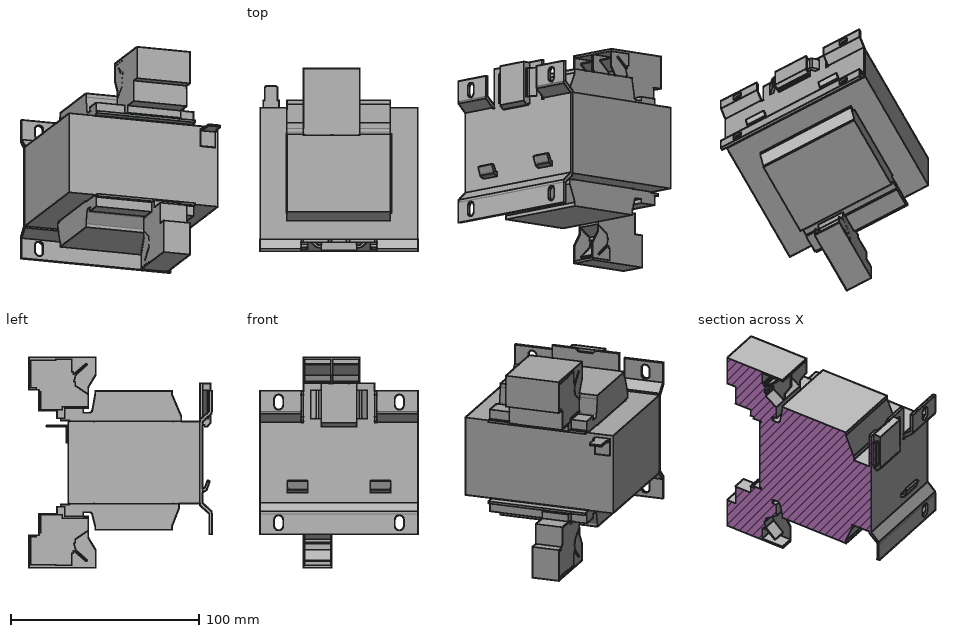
import cadquery as cq


CORE_WIDTH = 84.0
CORE_HEIGHT = 43.7
LIMB = 14.0
E_DEPTH = 56.0
CORE_DEPTH = E_DEPTH + LIMB
CORE_HALF_WIDTH = CORE_WIDTH / 2
HALF_HEIGHT = CORE_HEIGHT / 2
WINDOW_OUTER_X = CORE_HALF_WIDTH - LIMB
CENTRE_LIMB_HALF = LIMB

BOBBIN_LEFT = -27.7
BOBBIN_RIGHT = 27.35
BOBBIN_WIDTH = BOBBIN_RIGHT - BOBBIN_LEFT
COIL_FRONT_TOP_Y = 14.7
COIL_BACK_TOP_Y = 55.7
COIL_BACK_ROOT_Y = 57.2
EDGE_LAND = 2.0
UPPER_COIL_TOP = 38.1
UPPER_COIL_FRONT = 9.75
LOWER_COIL_TOP = 35.9
LOWER_COIL_FRONT = 11.0
COIL_FRONT_ROOT_Z = 24.4
GROOVE_FLOOR_Z = 26.5
GROOVE_BACK_Y = 61.9
GROOVE_ROUND_Y = 58.9
GROOVE_ROUND_Z = 27.8
LEDGE_Z = 28.7
LEDGE_BACK_Y = 71.7
TAIL_BACK_Y = 74.0
TAIL_TOP = 23.5
TAIL_BOTTOM = 22.3
TAIL_ROOT_Y = 69.2

BLOCK_WIDTH = 15.0
BLOCK_LEFT = -18.9
BLOCK_TOP = 56.0
BLOCK_BACK_Y = 90.82
BLOCK_NOSE_Y = 55.3
BLOCK_NOSE_Z = 46.6
BLOCK_FACE_Y = 59.3
BLOCK_FACE_Z = 39.9
BLOCK_STEP_Y = 85.6
BLOCK_STEP_Z = 38.6
BLOCK_BASE_Z = 27.4
FOOT_BACK_Y = 76.0
SHELL = 1.0
SIDE_WALL = 0.7
RIM_WALL = 0.5
ROOF = 1.25
CAVITY_BACK_Y = 68.1
CAVITY_REST_Y = 67.2
CAVITY_REST_TOP = 48.3
CAVITY_REST_BOTTOM = 43.4
CAVITY_SLOPE_Y = 66.1
CAVITY_HEEL_Z = 42.5
CAVITY_SLOPE_Z = 40.8
CAVITY_SILL_Z = 36.2
PANEL_INSET = 0.1
PANEL_STEP_Y = 73.2
PANEL_RISE_Y = 76.6
PANEL_RISE = 0.4
PANEL_NOTCH_Y = 87.0
PANEL_NOTCH_DEPTH = 1.1
LEVER_TIP_Y = 60.4
LEVER_TIP_Z = 52.6
LEVER_TIP_DROP = 0.55
LEVER_BEND_Y = 66.0
LEVER_BEND_Z = 46.5
LEVER_BACK_Z = 47.0
LEVER_FOOT_Y = 66.9
LEVER_FOOT_Z = 43.1

PLATE_WIDTH = 84.05
PLATE_HALF_WIDTH = PLATE_WIDTH / 2
PLATE = 1.5
FLANGE_OUTER_Y = -6.5
FLANGE_INNER_Y = FLANGE_OUTER_Y + PLATE
FLANGE_END_Z = 38.2
BEND_OUTER_Z = 21.5
BEND_INNER_Z = 22.8
CREASE_OUTER_Z = 26.0
CREASE_INNER_Z = 27.25
CREASE_BEVEL = 0.2
TONGUE_HALF = 18.95
TONGUE_TOP = 42.25
NOTCH_TOP_HALF = 5.6
NOTCH_FLOOR_HALF = 3.9
NOTCH_DEPTH = 1.7
RELIEF = 1.25
RELIEF_BOTTOM = 21.0
SLOT_X = 32.1
SLOT_Z = 32.1
SLOT_WIDTH = 4.7
SLOT_LENGTH = 7.9

CLIP_HALF = 9.4
CLIP_TOP = TONGUE_TOP - 0.15
CLIP_OUTER_Y = -5.75
CLIP_BOTTOM = 21.0
CLIP_LIP_Z = 18.9
CLIP_LIP_OUTER_Y = -3.8
CLIP_LIP_INNER_Y = -2.6
CLIP_LIP_ROOT_Z = 19.8
STRAP_ROOT_X = 15.1
STRAP_SHOULDER_X = 12.1
STRAP_SHOULDER_Y = -4.1
STRAP_FLAT_X = 10.9
STRAP_OUTER_Y = -4.5
STRAP = 1.2
STRAP_BOTTOM = 23.3
STRAP_TOP = 38.5

HOOK_X = 22.0
HOOK_WIDTH = 11.0
HOOK_CORNER = 0.7
HOOK_ROOT_TOP_Z = -13.8
HOOK_ROOT_BOTTOM_Z = -16.0
HOOK_SOLE_Y = -3.2
HOOK_SOLE_Z = -15.1
HOOK_HEEL_Y = -3.8
HOOK_HEEL_Z = -14.5
HOOK_SHIN_Y = -4.1
HOOK_SHIN_Z = -13.6
HOOK_NECK_Y = -2.6
HOOK_NECK_Z = -13.4
HOOK_TIP_INNER_Y = -4.2
HOOK_TIP_OUTER_Y = -5.4
HOOK_TIP_INNER_Z = -9.4
HOOK_TIP_OUTER_Z = -10.0

TAB_X = -36.1
TAB_THICKNESS = 0.9
TAB_TOP = 19.9
TAB_LEG_BOTTOM = 10.6
TAB_BASE_WIDTH = 8.4
TAB_BASE_BACK_Y = 73.8
TAB_BLADE_WIDTH = 6.8
TAB_TIP_Y = 81.6
TAB_CHAMFER = 0.9
TAB_TIP_BEVEL = TAB_THICKNESS / 3


def box(x0, x1, y0, y1, z0, z1):
    """Box between opposite corners."""
    return cq.Workplane("XY").box(x1 - x0, y1 - y0, z1 - z0, centered=False).translate((x0, y0, z0))


def side_prism(points, x0, x1):
    """Prism with a (Y, Z) outline, running along X."""
    return cq.Workplane("YZ", origin=(x0, 0, 0)).polyline(points).close().extrude(x1 - x0)


def mirror_z(body):
    return body.mirror("XY")


def make_core():
    core = box(-CORE_HALF_WIDTH, CORE_HALF_WIDTH, 0, CORE_DEPTH, -HALF_HEIGHT, HALF_HEIGHT)
    for x0, x1 in ((-WINDOW_OUTER_X, -CENTRE_LIMB_HALF), (CENTRE_LIMB_HALF, WINDOW_OUTER_X)):
        core = core.cut(box(x0, x1, LIMB, E_DEPTH, -HALF_HEIGHT, HALF_HEIGHT))
    return core


def make_winding():
    """Winding that fills the core windows."""
    winding = box(BOBBIN_LEFT, -CENTRE_LIMB_HALF, LIMB, E_DEPTH, -HALF_HEIGHT, HALF_HEIGHT)
    return winding.union(box(CENTRE_LIMB_HALF, BOBBIN_RIGHT, LIMB, E_DEPTH, -HALF_HEIGHT, HALF_HEIGHT))


def make_bobbin_end(front_y, top_z):
    """Coil end standing above the core, with the ledge that carries the terminals."""
    return (
        cq.Workplane("YZ", origin=(BOBBIN_LEFT, 0, 0))
        .moveTo(front_y, HALF_HEIGHT)
        .lineTo(front_y, COIL_FRONT_ROOT_Z)
        .lineTo(COIL_FRONT_TOP_Y, top_z - EDGE_LAND)
        .lineTo(COIL_FRONT_TOP_Y, top_z)
        .lineTo(COIL_BACK_TOP_Y, top_z)
        .lineTo(COIL_BACK_TOP_Y, top_z - EDGE_LAND)
        .lineTo(COIL_BACK_ROOT_Y, GROOVE_ROUND_Z)
        .tangentArcPoint((GROOVE_ROUND_Y, GROOVE_FLOOR_Z), relative=False)
        .lineTo(GROOVE_BACK_Y, GROOVE_FLOOR_Z)
        .lineTo(GROOVE_BACK_Y, LEDGE_Z)
        .lineTo(LEDGE_BACK_Y, LEDGE_Z)
        .lineTo(LEDGE_BACK_Y, TAIL_TOP)
        .lineTo(TAIL_BACK_Y, TAIL_TOP)
        .lineTo(TAIL_BACK_Y, TAIL_BOTTOM)
        .lineTo(TAIL_ROOT_Y, TAIL_BOTTOM)
        .lineTo(TAIL_ROOT_Y, HALF_HEIGHT)
        .close()
        .extrude(BOBBIN_WIDTH)
    )


CAVITY_WALL = [
    (CAVITY_BACK_Y, BLOCK_TOP - ROOF),
    (CAVITY_BACK_Y, CAVITY_REST_TOP),
    (CAVITY_REST_Y, CAVITY_REST_TOP),
    (CAVITY_REST_Y, CAVITY_REST_BOTTOM),
    (CAVITY_SLOPE_Y, CAVITY_HEEL_Z),
    (CAVITY_SLOPE_Y, CAVITY_SLOPE_Z),
    (BLOCK_FACE_Y, CAVITY_SILL_Z),
]
LEVER_OUTLINE = [
    (LEVER_TIP_Y, LEVER_TIP_Z),
    (LEVER_TIP_Y - LEVER_TIP_DROP, LEVER_TIP_Z - LEVER_TIP_DROP),
    (LEVER_BEND_Y, LEVER_BEND_Z),
    (LEVER_FOOT_Y, LEVER_FOOT_Z),
    (CAVITY_REST_Y, LEVER_FOOT_Z),
    (CAVITY_REST_Y, LEVER_BACK_Z),
    (LEVER_FOOT_Y, LEVER_BACK_Z),
]


def make_terminal(left_x):
    """Terminal block with a wire cavity, open to the front, and a bent clamp lever."""
    right_x = left_x + BLOCK_WIDTH
    outline = [
        (BLOCK_NOSE_Y, BLOCK_TOP),
        (BLOCK_BACK_Y, BLOCK_TOP),
        (BLOCK_BACK_Y, BLOCK_STEP_Z),
        (BLOCK_STEP_Y, BLOCK_STEP_Z),
        (BLOCK_STEP_Y, BLOCK_BASE_Z),
        (FOOT_BACK_Y, BLOCK_BASE_Z),
        (FOOT_BACK_Y, TAIL_TOP),
        (LEDGE_BACK_Y, TAIL_TOP),
        (LEDGE_BACK_Y, LEDGE_Z),
        (BLOCK_FACE_Y, LEDGE_Z),
        (BLOCK_FACE_Y, BLOCK_FACE_Z),
        (BLOCK_NOSE_Y, BLOCK_NOSE_Z),
    ]
    mouth = [(BLOCK_NOSE_Y, CAVITY_SILL_Z), (BLOCK_NOSE_Y, BLOCK_TOP - ROOF)]
    block = side_prism(outline, left_x, right_x)
    block = block.cut(side_prism(CAVITY_WALL + mouth, left_x + SIDE_WALL, right_x - RIM_WALL))
    return block.union(side_prism(LEVER_OUTLINE, left_x, right_x))


def make_end_panel():
    """Shallow inset with the outline of the block's core and lever, for the outermost side wall."""
    panel = [
        (BLOCK_FACE_Y, LEDGE_Z + SHELL),
        (PANEL_STEP_Y, LEDGE_Z + SHELL),
        (PANEL_STEP_Y, BLOCK_BASE_Z + SHELL / 2),
        (BLOCK_STEP_Y - SHELL, BLOCK_BASE_Z + SHELL / 2),
        (BLOCK_STEP_Y - SHELL, BLOCK_STEP_Z - PANEL_NOTCH_DEPTH),
        (BLOCK_STEP_Y, BLOCK_STEP_Z - PANEL_NOTCH_DEPTH),
        (BLOCK_STEP_Y, BLOCK_STEP_Z),
        (PANEL_NOTCH_Y, BLOCK_STEP_Z),
        (PANEL_NOTCH_Y, BLOCK_STEP_Z + SHELL),
        (BLOCK_BACK_Y - SHELL, BLOCK_STEP_Z + SHELL),
        (BLOCK_BACK_Y - SHELL, BLOCK_TOP - ROOF - PANEL_RISE),
        (PANEL_RISE_Y, BLOCK_TOP - ROOF - PANEL_RISE),
        (PANEL_RISE_Y, BLOCK_TOP - ROOF),
    ]
    x1 = BLOCK_LEFT + PANEL_INSET
    return side_prism(panel + CAVITY_WALL, BLOCK_LEFT, x1).union(side_prism(LEVER_OUTLINE, BLOCK_LEFT, x1))


def make_terminals():
    """Two blocks above the core and one, inverted, below it."""
    first = make_terminal(BLOCK_LEFT).cut(make_end_panel())
    second = make_terminal(BLOCK_LEFT + BLOCK_WIDTH)
    return first.union(second).union(mirror_z(first))


def make_flange(x0, x1):
    """Upper flange cranked forward from the plate."""
    outline = [
        (0, HALF_HEIGHT - PLATE),
        (0, BEND_INNER_Z),
        (FLANGE_INNER_Y, CREASE_INNER_Z),
        (FLANGE_INNER_Y, FLANGE_END_Z),
        (FLANGE_OUTER_Y, FLANGE_END_Z),
        (FLANGE_OUTER_Y, CREASE_INNER_Z),
        (FLANGE_OUTER_Y + CREASE_BEVEL, CREASE_OUTER_Z),
        (-PLATE, BEND_OUTER_Z),
        (-PLATE, HALF_HEIGHT - PLATE),
    ]
    return side_prism(outline, x0, x1)


def make_plate():
    relief_outer = TONGUE_HALF + RELIEF
    plate = box(-PLATE_HALF_WIDTH, PLATE_HALF_WIDTH, -PLATE, 0, -BEND_OUTER_Z, BEND_OUTER_Z)
    plate = plate.union(mirror_z(make_flange(-PLATE_HALF_WIDTH, PLATE_HALF_WIDTH)))
    for x0, x1 in ((-PLATE_HALF_WIDTH, -relief_outer), (relief_outer, PLATE_HALF_WIDTH)):
        plate = plate.union(make_flange(x0, x1))
    plate = plate.union(box(-TONGUE_HALF, TONGUE_HALF, -PLATE, 0, 0, TONGUE_TOP))
    for x0 in (-relief_outer, TONGUE_HALF):
        plate = plate.cut(box(x0, x0 + RELIEF, -PLATE, 0, RELIEF_BOTTOM, TONGUE_TOP))
    notch_floor = TONGUE_TOP - NOTCH_DEPTH
    notch = [
        (-NOTCH_TOP_HALF, TONGUE_TOP),
        (-NOTCH_FLOOR_HALF, notch_floor),
        (NOTCH_FLOOR_HALF, notch_floor),
        (NOTCH_TOP_HALF, TONGUE_TOP),
    ]
    plate = plate.cut(cq.Workplane("XZ").polyline(notch).close().extrude(PLATE))
    slots = (
        cq.Workplane("XZ")
        .pushPoints([(x, z) for x in (-SLOT_X, SLOT_X) for z in (-SLOT_Z, SLOT_Z)])
        .slot2D(SLOT_LENGTH, SLOT_WIDTH, 90)
        .extrude(-FLANGE_OUTER_Y)
    )
    return plate.cut(slots)


def make_strap():
    """Strap rising from the tongue to the left side of the clip."""
    outline = [
        (-STRAP_ROOT_X, -PLATE),
        (-STRAP_SHOULDER_X, STRAP_SHOULDER_Y),
        (-STRAP_FLAT_X, STRAP_OUTER_Y),
        (-CLIP_HALF, STRAP_OUTER_Y),
        (-CLIP_HALF, STRAP_OUTER_Y + STRAP),
        (-STRAP_FLAT_X, STRAP_OUTER_Y + STRAP),
        (-STRAP_ROOT_X + 2 * STRAP, -PLATE),
    ]
    blank = cq.Workplane("XY", origin=(0, 0, STRAP_BOTTOM)).polyline(outline).close()
    return blank.extrude(STRAP_TOP - STRAP_BOTTOM)


def make_clip():
    outline = [
        (-PLATE, CLIP_TOP),
        (CLIP_OUTER_Y, CLIP_TOP),
        (CLIP_OUTER_Y, CLIP_BOTTOM),
        (CLIP_LIP_OUTER_Y, CLIP_LIP_Z),
        (CLIP_LIP_INNER_Y, CLIP_LIP_Z),
        (CLIP_LIP_INNER_Y, CLIP_LIP_ROOT_Z),
        (-PLATE, CLIP_LIP_ROOT_Z),
    ]
    strap = make_strap()
    return side_prism(outline, -CLIP_HALF, CLIP_HALF).union(strap).union(strap.mirror("YZ"))


def make_hook(centre_x):
    """Hook leaning forward and up, with clipped tip corners."""
    outline = [
        (-PLATE, HOOK_ROOT_BOTTOM_Z),
        (HOOK_SOLE_Y, HOOK_SOLE_Z),
        (HOOK_HEEL_Y, HOOK_HEEL_Z),
        (HOOK_SHIN_Y, HOOK_SHIN_Z),
        (HOOK_TIP_OUTER_Y, HOOK_TIP_OUTER_Z),
        (HOOK_TIP_INNER_Y, HOOK_TIP_INNER_Z),
        (HOOK_NECK_Y, HOOK_NECK_Z),
        (-PLATE, HOOK_ROOT_TOP_Z),
    ]
    hook = side_prism(outline, centre_x - HOOK_WIDTH / 2, centre_x + HOOK_WIDTH / 2)
    tip_height = HOOK_TIP_INNER_Z - HOOK_ROOT_BOTTOM_Z
    front_shape = (
        cq.Workplane("XZ")
        .center(centre_x, HOOK_ROOT_BOTTOM_Z + tip_height / 2)
        .rect(HOOK_WIDTH, tip_height)
        .extrude(-HOOK_TIP_OUTER_Y)
        .edges("|Y and >Z")
        .chamfer(HOOK_CORNER)
    )
    return hook.intersect(front_shape)


def make_earth_tab():
    half_base = TAB_BASE_WIDTH / 2
    half_blade = TAB_BLADE_WIDTH / 2
    z0 = TAB_TOP - TAB_THICKNESS
    leg_back = CORE_DEPTH + TAB_THICKNESS
    leg = box(TAB_X - half_base, TAB_X + half_base, CORE_DEPTH, leg_back, TAB_LEG_BOTTOM, TAB_TOP)
    base = box(TAB_X - half_base, TAB_X + half_base, CORE_DEPTH, TAB_BASE_BACK_Y, z0, TAB_TOP)
    blade = box(TAB_X - half_blade, TAB_X + half_blade, CORE_DEPTH, TAB_TIP_Y, z0, TAB_TOP)
    blade = blade.edges("|Z and >Y").chamfer(TAB_CHAMFER)
    blade = blade.faces(">Y").edges("|X").chamfer(TAB_TIP_BEVEL)
    return leg.union(base).union(blade)


result = make_core().union(make_winding())
result = result.union(make_bobbin_end(UPPER_COIL_FRONT, UPPER_COIL_TOP))
result = result.union(mirror_z(make_bobbin_end(LOWER_COIL_FRONT, LOWER_COIL_TOP)))
result = result.union(make_terminals())
result = result.union(make_plate())
result = result.union(make_clip())
for hook_x in (-HOOK_X, HOOK_X):
    result = result.union(make_hook(hook_x))
result = result.union(make_earth_tab())